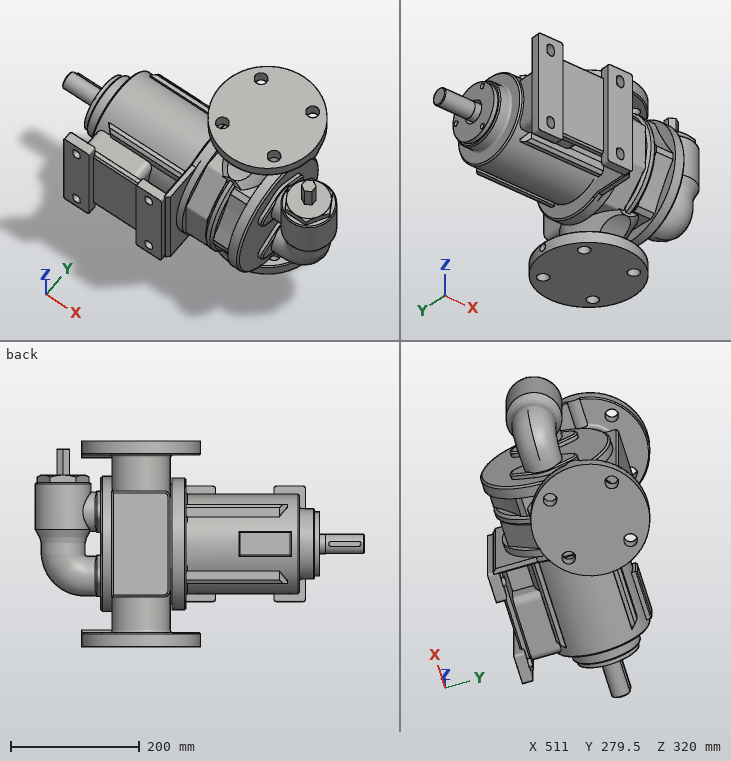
import cadquery as cq
import math


shaft_radius = 15.1
shoulder_radius = 15.5
shoulder_start = 60.5
shaft_end = 100.5
shaft_chamfer = 1.5
key_start = 5.0
key_length = 50.0
key_width = 8.0
key_top = 17.5

cover_face = 69.5
cover_radius = 50.0
collar_start = 77.0
collar_radius = 54.95
collar_chamfer = 2.0
collar_fillet = 3.0
shaft_bore_radius = 20.0
cover_hole_radius = 4.35
cover_hole_circle = 43.0
cover_hole_depth = 5.0
cover_hole_count = 3

barrel_start = 100.5
barrel_radius = 77.5
barrel_chamfer = 2.5
rib_start = 119.0
rib_y = (53.0, 65.5)
rib_z = (41.0, 61.5)
rib_taper = 13.0
rib_chamfer = 5.0
nameplate_start = 113.0
nameplate_length = 82.0
nameplate_width = 39.0
nameplate_y = 84.5
nameplate_chamfer = 2.0

adapter_start = 277.0
adapter_end = 299.0
adapter_radius = 102.5
adapter_chamfer = 2.5
barrel_fillet = 2.5
web_thickness = 10.0
web_shoulder_y = -51.0
web_bottom = -122.5
web_chamfer = 2.0
web_bottom_chamfer = 5.5

foot_bottom = -132.5
foot_top = -115.5
foot_half_height = 90.0
pad_starts = (91.0, 231.0)
pad_width = 49.5
pad_fillet = 4.5
pad_edge_fillet = 2.0
slot_length = 21.0
slot_width = 14.5
slot_z = 67.0
base_start = 103.0
base_half_height = 70.5
base_y = (-121.5, -111.5)
base_chamfer = 3.0
pedestal_start = 107.0
pedestal_end = 214.0
pedestal_half_height = 45.5
pedestal_front_fillet = 10.5
pedestal_rear_fillet = 13.5
spine_half_height = 7.5

octagon_apothem = 93.0
octagon_fillet = 6.0
ring_start = 339.5
ring_end = 355.5
ring_radius = 100.5
ring_chamfer = 4.5
lug_count = 6
lug_radius = 99.5
lug_half_angle = 3.2
valley_radius = 89.0
valley_half_angle = 12.0
end_cover_start = 389.5
end_cover_end = 409.5
end_cover_radius = 105.5
end_cover_chamfer = 3.0
port_block_start = 302.0
port_block_end = 392.5
port_block_y = 113.5
port_block_half_height = 82.5
port_block_fillet = 9.0
port_block_chamfer = 3.0

port_x = 346.5
port_y = 54.5
port_face = 160.0
port_flange_radius = 92.5
port_flange_thickness = 22.0
port_flange_chamfer = 2.0
neck_radius = 45.5
neck_fillet = 4.0
bolt_offset = 50.0
bolt_hole_radius = 10.5
gauge_depth = 12.5
gauge_boss_radius = 14.0
gauge_hole_radius = 6.5
gauge_hole_depth = 10.0
shoulder_back = (82.0, 84.0)
shoulder_peak = (16.5, 130.5)
shoulder_middle = (-8.0, 108.5)
shoulder_front = (-38.0, 96.5)
shoulder_toe = (-51.0, 66.5)
crown_radius = 45.0

valve_x = 467.5
valve_radius = 43.5
valve_top = 95.0
valve_bottom = 22.5
valve_chamfer = 2.0
cone_radius = 36.5
cone_bottom = 9.0
pipe_radius = 34.0
pipe_top = 1.0
elbow_top = -16.0
elbow_end = 430.5
elbow_inner_radius = 3.0
branch_radius = 30.9
branch_z = 49.8
joint_thickness = 8.5
joint_radius = 32.0
joint_ear_radius = 14.0
joint_half_width = 54.4
joint_chamfer = 2.5
cap_corner_radius = 40.5
cap_chamfer_drop = 3.0
cap_top = 107.0
stem_corner_radius = 11.5
stem_top = 147.0


def cylinder_x(start, end, radius, y=0, z=0):
    """Cylinder along X."""
    return cq.Workplane("YZ", origin=(start, y, z)).circle(radius).extrude(end - start)


def cylinder_z(x, y, bottom, top, radius):
    """Cylinder along Z."""
    return cq.Workplane("XY", origin=(x, y, bottom)).circle(radius).extrude(top - bottom)


def block(x, y, z):
    """Box given by its (low, high) range along each axis."""
    size = (x[1] - x[0], y[1] - y[0], z[1] - z[0])
    return cq.Workplane("XY").box(*size, centered=False).translate((x[0], y[0], z[0]))


def polar(radius, degrees):
    """Point at an angle measured from the first plane axis."""
    return (radius * math.cos(math.radians(degrees)), radius * math.sin(math.radians(degrees)))


def make_shaft():
    """Stepped shaft with its key on the +Y side."""
    journal = cylinder_x(0, shoulder_start, shaft_radius).faces("<X").chamfer(shaft_chamfer)
    shoulder = cylinder_x(shoulder_start, shaft_end, shoulder_radius)
    key = block(
        (key_start, key_start + key_length), (0, key_top), (-key_width / 2, key_width / 2)
    ).edges("|Y").fillet(key_width / 2 - 0.05)
    return journal.union(shoulder).union(key)


def make_bearing_cover():
    """Round cover on a collar, with the fillet where the collar meets the barrel."""
    cover = cylinder_x(cover_face, collar_start, cover_radius)
    collar = (
        cq.Workplane("XY")
        .moveTo(collar_start, 0)
        .lineTo(collar_start, collar_radius - collar_chamfer)
        .lineTo(collar_start + collar_chamfer, collar_radius)
        .lineTo(barrel_start - collar_fillet, collar_radius)
        .radiusArc((barrel_start, collar_radius + collar_fillet), -collar_fillet)
        .lineTo(barrel_start, 0)
        .close()
        .revolve(360, (0, 0, 0), (1, 0, 0))
    )
    holes = (
        cq.Workplane("YZ", origin=(cover_face, 0, 0))
        .polarArray(cover_hole_circle, 0, 360, cover_hole_count)
        .circle(cover_hole_radius)
        .extrude(cover_hole_depth)
    )
    return cover.union(collar).cut(holes)


def make_barrel():
    """Bearing barrel with four long ribs and a nameplate pad on the +Y side."""
    barrel = cylinder_x(barrel_start, adapter_start, barrel_radius).faces("<X").chamfer(barrel_chamfer)
    root_fillet = (
        cq.Workplane("XY")
        .moveTo(adapter_start - barrel_fillet, barrel_radius)
        .radiusArc((adapter_start, barrel_radius + barrel_fillet), -barrel_fillet)
        .lineTo(adapter_start, barrel_radius)
        .close()
        .revolve(360, (0, 0, 0), (1, 0, 0))
    )
    rib = (
        cq.Workplane("XY", origin=(0, 0, rib_z[0]))
        .moveTo(adapter_start, rib_y[0])
        .lineTo(rib_start, rib_y[0])
        .lineTo(rib_start + rib_taper, rib_y[1])
        .lineTo(adapter_start, rib_y[1])
        .close()
        .extrude(rib_z[1] - rib_z[0])
        .edges(">Y and >Z")
        .chamfer(rib_chamfer)
    )
    upper_ribs = rib.union(rib.mirror("XZ"))
    nameplate = block(
        (nameplate_start, nameplate_start + nameplate_length),
        (0, nameplate_y),
        (-nameplate_width / 2, nameplate_width / 2),
    ).faces(">Y").chamfer(nameplate_chamfer)
    return barrel.union(root_fillet).union(upper_ribs).union(upper_ribs.mirror("XY")).union(nameplate)


def make_adapter():
    """Round flange whose front part widens into the web that carries the foot."""
    flange = cylinder_x(adapter_start, adapter_end, adapter_radius).faces("<X").chamfer(adapter_chamfer)
    shoulder_distance = math.hypot(web_shoulder_y, foot_half_height)
    shoulder_angle = math.degrees(math.atan2(foot_half_height, web_shoulder_y))
    touch_angle = shoulder_angle - math.degrees(math.acos(min(1, adapter_radius / shoulder_distance)))
    touch_y, touch_z = polar(adapter_radius, touch_angle)
    web = (
        cq.Workplane("YZ", origin=(adapter_start, 0, 0))
        .polyline([
            (touch_y, touch_z),
            (web_shoulder_y, foot_half_height),
            (web_bottom, foot_half_height),
            (web_bottom, -foot_half_height),
            (web_shoulder_y, -foot_half_height),
            (touch_y, -touch_z),
        ])
        .close()
        .extrude(web_thickness)
        .faces("<X")
        .chamfer(web_chamfer)
        .edges(">X and <Y")
        .chamfer(web_bottom_chamfer)
    )
    return flange.union(web)


def make_foot():
    """Two slotted pads joined by a base plate that a pedestal and a spine tie to the barrel."""
    foot = block(
        (base_start, adapter_start), base_y, (-base_half_height, base_half_height)
    ).edges("|X and <Y").chamfer(base_chamfer)
    pedestal = block(
        (pedestal_start, pedestal_end), (base_y[1], 0), (-pedestal_half_height, pedestal_half_height)
    ).edges("|Y and <X").fillet(pedestal_front_fillet).edges("|Y and >X").fillet(pedestal_rear_fillet)
    spine = block((pedestal_end - pedestal_rear_fillet, adapter_start), (base_y[1], 0),
                  (-spine_half_height, spine_half_height))
    foot = foot.union(pedestal).union(spine)
    for start in pad_starts:
        pad = block(
            (start, start + pad_width), (foot_bottom, foot_top), (-foot_half_height, foot_half_height)
        ).edges("|Y").fillet(pad_fillet).faces(">Y").edges().fillet(pad_edge_fillet)
        slots = (
            cq.Workplane("XZ", origin=(start + pad_width / 2, base_y[1], 0))
            .pushPoints([(0, slot_z), (0, -slot_z)])
            .slot2D(slot_length, slot_width, 90)
            .extrude(base_y[1] - foot_bottom)
        )
        foot = foot.union(pad).cut(slots)
    return foot


def make_casing():
    """Octagonal casing, its ring, the lugged section, the end cover and the port block."""
    octagon = (
        cq.Workplane("YZ", origin=(adapter_end, 0, 0))
        .polygon(8, 2 * octagon_apothem, circumscribed=True)
        .extrude(ring_start - adapter_end)
        .edges("|X")
        .fillet(octagon_fillet)
    )
    ring = cylinder_x(ring_start, ring_end, ring_radius).edges().chamfer(ring_chamfer)
    lug_outline = []
    lug_pitch = 360 / lug_count
    for i in range(lug_count):
        lug_angle = i * lug_pitch
        valley_angle = lug_angle + lug_pitch / 2
        lug_outline.append(polar(lug_radius, lug_angle - lug_half_angle))
        lug_outline.append(polar(lug_radius, lug_angle + lug_half_angle))
        lug_outline.append(polar(valley_radius, valley_angle - valley_half_angle))
        lug_outline.append(polar(valley_radius, valley_angle + valley_half_angle))
    lugs = (
        cq.Workplane("YZ", origin=(ring_end, 0, 0))
        .polyline(lug_outline)
        .close()
        .extrude(end_cover_start - ring_end)
    )
    end_cover = (
        cylinder_x(end_cover_start, end_cover_end, end_cover_radius).faces(">X").chamfer(end_cover_chamfer)
    )
    port_block = block(
        (port_block_start, port_block_end),
        (0, port_block_y),
        (-port_block_half_height, port_block_half_height),
    ).edges("|Y and <X").fillet(port_block_fillet).faces(">Y").chamfer(port_block_chamfer)
    return octagon.union(ring).union(lugs).union(end_cover).union(port_block)


def make_port():
    """Upper port: bolted flange, neck and the sloping shoulder that joins the neck to the casing."""
    flange_back = port_face - port_flange_thickness
    port = (
        cq.Workplane("XZ")
        .lineTo(neck_radius, 0)
        .lineTo(neck_radius, flange_back - neck_fillet)
        .radiusArc((neck_radius + neck_fillet, flange_back), neck_fillet)
        .lineTo(port_flange_radius - port_flange_chamfer, flange_back)
        .lineTo(port_flange_radius, flange_back + port_flange_chamfer)
        .lineTo(port_flange_radius, port_face)
        .lineTo(0, port_face)
        .close()
        .revolve(360, (0, 0, 0), (0, 1, 0))
        .translate((port_x, port_y, 0))
    )
    gauge_boss = cylinder_x(
        port_x, port_x + port_flange_radius, gauge_boss_radius, port_y, port_face - gauge_depth
    )
    flange_space = cylinder_z(port_x, port_y, 0, port_face, port_flange_radius)
    shoulder = (
        cq.Workplane("YZ", origin=(port_x, 0, 0))
        .moveTo(*shoulder_back)
        .lineTo(*shoulder_peak)
        .threePointArc(shoulder_middle, shoulder_front)
        .lineTo(*shoulder_toe)
        .lineTo(shoulder_back[0], shoulder_toe[1])
        .close()
        .extrude(neck_radius, both=True)
    )
    fall_y = shoulder_front[0] - shoulder_peak[0]
    fall_z = shoulder_front[1] - shoulder_peak[1]
    fall = math.hypot(fall_y, fall_z)
    axis_y = shoulder_peak[0] - crown_radius * fall_z / fall
    axis_z = shoulder_peak[1] + crown_radius * fall_y / fall
    crown_plane = cq.Plane((port_x, axis_y, axis_z), (1, 0, 0), (0, fall_y, fall_z))
    crown = cq.Workplane(crown_plane).circle(crown_radius).extrude(2 * fall, both=True)
    shoulder = shoulder.intersect(crown)
    bolt_holes = (
        cq.Workplane("XY", origin=(port_x, port_y, flange_back - neck_fillet))
        .rect(2 * bolt_offset, 2 * bolt_offset, forConstruction=True)
        .vertices()
        .circle(bolt_hole_radius)
        .extrude(port_flange_thickness + neck_fillet)
    )
    return port.union(gauge_boss.intersect(flange_space)).union(shoulder).cut(bolt_holes)


def make_gauge_hole():
    """Blind hole in the -X rim of the lower port flange."""
    rim = port_x - port_flange_radius
    return cylinder_x(rim, rim + gauge_hole_depth, gauge_hole_radius, port_y, gauge_depth - port_face)


def make_elbow():
    """Tapering quarter bend from the vertical pipe to the horizontal branch."""
    sections = []
    section_count = 7
    for i in range(section_count):
        turn = math.pi / 2 * i / (section_count - 1)
        radius = pipe_radius + (branch_radius - pipe_radius) * i / (section_count - 1)
        reach = elbow_inner_radius + radius
        center = cq.Vector(
            elbow_end + reach * math.cos(turn), 0, elbow_top - reach * math.sin(turn)
        )
        heading = cq.Vector(-math.sin(turn), 0, -math.cos(turn))
        sections.append(cq.Wire.makeCircle(radius, center, heading))
    return cq.Workplane(obj=cq.Solid.makeLoft(sections))


def make_valve_joint(z):
    """Two-eared pad on the end cover."""
    ear_y = joint_half_width - joint_ear_radius
    tangent_angle = math.degrees(math.acos((joint_radius - joint_ear_radius) / ear_y))
    disc_y, disc_z = polar(joint_radius, tangent_angle)
    ear_offset_y, ear_z = polar(joint_ear_radius, tangent_angle)
    flank_y = ear_y + ear_offset_y
    return (
        cq.Workplane("YZ", origin=(end_cover_end, 0, z))
        .moveTo(disc_y, disc_z)
        .lineTo(flank_y, ear_z)
        .threePointArc((joint_half_width, 0), (flank_y, -ear_z))
        .lineTo(disc_y, -disc_z)
        .threePointArc((0, -joint_radius), (-disc_y, -disc_z))
        .lineTo(-flank_y, -ear_z)
        .threePointArc((-joint_half_width, 0), (-flank_y, ear_z))
        .lineTo(-disc_y, disc_z)
        .threePointArc((0, joint_radius), (disc_y, disc_z))
        .close()
        .extrude(joint_thickness)
        .faces(">X")
        .chamfer(joint_chamfer)
    )


def make_relief_valve():
    """Valve body with its cap and stem, tied to the end cover by a branch and an elbow."""
    body = (
        cq.Workplane("XZ")
        .moveTo(0, elbow_top)
        .lineTo(pipe_radius, elbow_top)
        .lineTo(pipe_radius, pipe_top)
        .lineTo(cone_radius, cone_bottom)
        .lineTo(valve_radius, valve_bottom)
        .lineTo(valve_radius, valve_top - valve_chamfer)
        .lineTo(valve_radius - valve_chamfer, valve_top)
        .lineTo(0, valve_top)
        .close()
        .revolve(360, (0, 0, 0), (0, 1, 0))
        .translate((valve_x, 0, 0))
    )
    cap = (
        cq.Workplane("XY", origin=(valve_x, 0, valve_top))
        .polygon(6, 2 * cap_corner_radius)
        .extrude(cap_top - valve_top)
    )
    cap_flat_radius = cap_corner_radius * math.cos(math.pi / 6)
    cap_chamfer = cylinder_z(valve_x, 0, valve_top, cap_top, cap_corner_radius)
    cap_chamfer = cap_chamfer.faces(">Z").edges().chamfer(cap_chamfer_drop, cap_corner_radius - cap_flat_radius)
    cap = cap.intersect(cap_chamfer)
    stem = (
        cq.Workplane("XY")
        .polygon(6, 2 * stem_corner_radius)
        .extrude(stem_top - cap_top)
        .rotate((0, 0, 0), (0, 0, 1), 30)
        .translate((valve_x, 0, cap_top))
    )
    upper_branch = cylinder_x(end_cover_end, valve_x, branch_radius, 0, branch_z)
    lower_branch_z = elbow_top - elbow_inner_radius - branch_radius
    lower_branch = cylinder_x(end_cover_end, elbow_end, branch_radius, 0, lower_branch_z)
    valve = body.union(cap).union(stem).union(upper_branch).union(make_elbow()).union(lower_branch)
    for z in (branch_z, lower_branch_z):
        valve = valve.union(make_valve_joint(z))
    return valve


def make_housing():
    """Everything that stands still, with the blind bore that clears and seats the shaft."""
    port = make_port()
    housing = (
        make_barrel()
        .union(make_bearing_cover())
        .union(make_adapter())
        .union(make_foot())
        .union(make_casing())
        .union(port)
        .union(port.mirror("XY"))
        .union(make_relief_valve())
    )
    shaft_bore = cylinder_x(cover_face, shaft_end, shaft_bore_radius)
    return housing.cut(shaft_bore).cut(make_gauge_hole())


shaft = make_shaft()
housing = make_housing()
result = cq.Compound.makeCompound([housing.val(), shaft.val()])